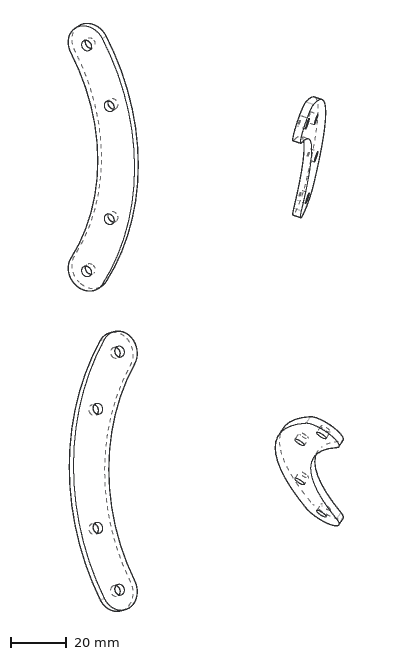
import cadquery as cq
import math

length = 101.9
band_width = 15.0
centerline_rise = 12.0
thickness = 3.0
hole_diameter = 4.0

end_radius = band_width / 2
end_height = length / 2 - end_radius
centerline_radius = (end_height**2 + centerline_rise**2) / (2 * centerline_rise)
inner_radius = centerline_radius - end_radius
outer_radius = centerline_radius + end_radius
end_angle = math.asin(end_height / centerline_radius)
inner_hole_height = end_height / 2

back_origin = (0, thickness / 2, 0)


def polar(radius, angle):
    """Point in the XZ plane at a radius and angle from the center of curvature."""
    return (radius * math.cos(angle), radius * math.sin(angle))


def end_tip(side):
    """Outermost point of a rounded end, along the centerline tangent."""
    x, z = polar(centerline_radius, side * end_angle)
    return (
        x - end_radius * math.sin(end_angle),
        z + side * end_radius * math.cos(end_angle),
    )


def centerline_point(height):
    """Point on the centerline arc at a given height."""
    return (math.sqrt(centerline_radius**2 - height**2), height)


band = (
    cq.Workplane("XZ", origin=back_origin)
    .moveTo(*polar(outer_radius, -end_angle))
    .threePointArc((outer_radius, 0), polar(outer_radius, end_angle))
    .threePointArc(end_tip(1), polar(inner_radius, end_angle))
    .threePointArc((inner_radius, 0), polar(inner_radius, -end_angle))
    .threePointArc(end_tip(-1), polar(outer_radius, -end_angle))
    .close()
    .extrude(thickness)
)

hole_heights = (-end_height, -inner_hole_height, inner_hole_height, end_height)
holes = (
    cq.Workplane("XZ", origin=back_origin)
    .pushPoints([centerline_point(height) for height in hole_heights])
    .circle(hole_diameter / 2)
    .extrude(thickness)
)

result = band.cut(holes)